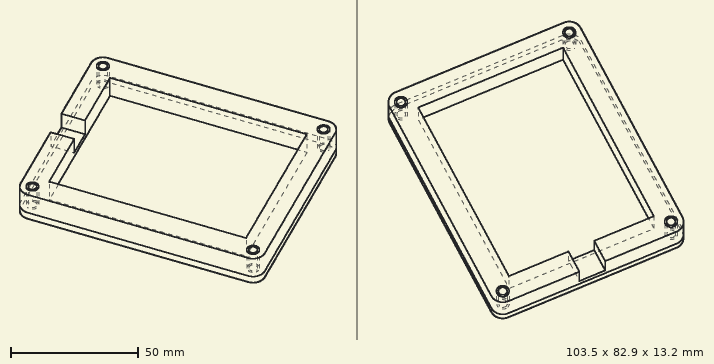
import cadquery as cq

length = 103.5
width = 82.9
total_height = 13.2
corner_radius = 5.0

plate_thickness = 3.4
frame_height = total_height - plate_thickness
wall = 10.0

notch_width = 11.2
notch_depth = 7.6

insert_diameter = 5.0
bore_diameter = 3.4
insert_x = length / 2 - corner_radius
insert_y = width / 2 - corner_radius
insert_centers = [(sx * insert_x, sy * insert_y) for sx in (-1, 1) for sy in (-1, 1)]


def rounded_slab(bottom, height):
    """Slab with the enclosure outline, standing on the given level."""
    slab = cq.Workplane("XY", origin=(0, 0, bottom)).rect(length, width).extrude(height)
    return slab.edges("|Z").fillet(corner_radius)


def make_plate():
    """Plain plate that closes the bottom of the frame."""
    return rounded_slab(0, plate_thickness)


def make_frame():
    """Open frame with a cable notch and a through hole for each insert."""
    frame = rounded_slab(plate_thickness, frame_height)
    opening = (
        cq.Workplane("XY", origin=(0, 0, plate_thickness))
        .rect(length - 2 * wall, width - 2 * wall)
        .extrude(frame_height)
    )
    notch = (
        cq.Workplane("XY", origin=(-(length - wall) / 2, 0, total_height - notch_depth))
        .rect(wall, notch_width)
        .extrude(notch_depth)
    )
    insert_holes = (
        cq.Workplane("XY", origin=(0, 0, plate_thickness))
        .pushPoints(insert_centers)
        .circle(insert_diameter / 2)
        .extrude(frame_height)
    )
    return frame.cut(opening).cut(notch).cut(insert_holes)


def make_insert(x, y):
    """Tube as tall as the frame, flush with its top and resting on the plate."""
    return (
        cq.Workplane("XY", origin=(x, y, plate_thickness))
        .circle(insert_diameter / 2)
        .circle(bore_diameter / 2)
        .extrude(frame_height)
    )


plate = make_plate()
frame = make_frame()
inserts = [make_insert(x, y) for x, y in insert_centers]

result = cq.Compound.makeCompound(
    [plate.val(), frame.val(), *[insert.val() for insert in inserts]]
)